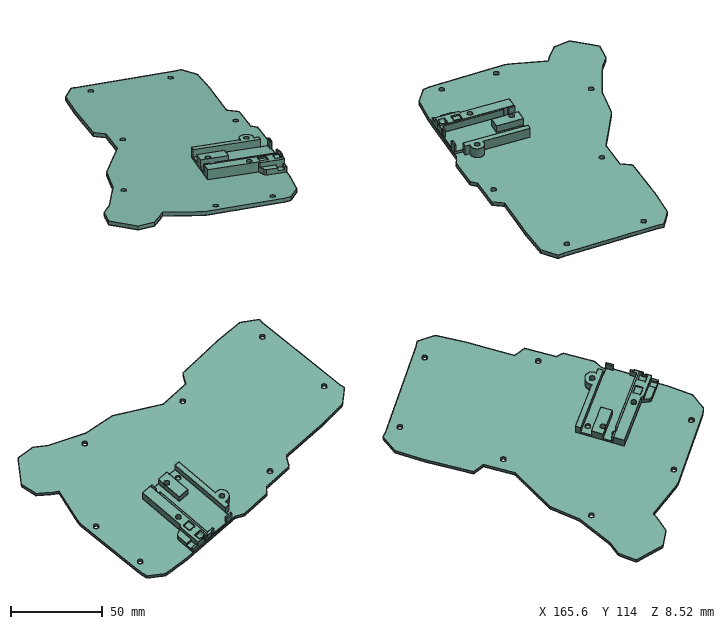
import cadquery as cq

overall_length = 165.62
overall_width = 114.03
overall_height = 8.52

plate_thickness = 2.4
tray_height = overall_height - plate_thickness
floor_thickness = 1.6
ledge_height = 3.3

screw_hole_diameter = 3.0

left_edge_inset = 0.4
right_edge = 162.0
plate_outline = [
    (0, 98.1),
    (8.4, 104.6),
    (25.8, 105.4),
    (35.6, 105.2),
    (53.4, 105.0),
    (57.3, 110.9),
    (75.3, 110.9),
    (78.3, overall_width),
    (96.0, overall_width),
    (101.0, 111.4),
    (138.6, 110.7),
    (153.4, 109.2),
    (161.4, 102.9),
    (right_edge, 99.2),
    (right_edge, 53.6),
    (161.4, 51.0),
    (154.8, 30.9),
    (157.7, 28.8),
    (164.4, 22.8),
    (overall_length, 13.0),
    (154.5, 0),
    (144.0, 1.2),
    (137.6, 6.4),
    (117.6, 15.9),
    (99.7, 18.8),
    (75.3, 33.8),
    (57.4, 33.8),
    (53.6, 27.9),
    (35.6, 27.6),
    (25.8, 27.4),
    (8.8, 28.2),
    (0, 34.6),
    (left_edge_inset, 37.5),
    (left_edge_inset, 94.8),
]
plate_hole_centers = [
    (7.0, 89.5),
    (7.0, 43.4),
    (66.7, 105.4),
    (66.7, 40.2),
    (157.3, 93.8),
    (157.3, 60.9),
    (122.9, 20.1),
]

tray_corner = (99.2, 68.0)
tray_turn = -1.6

rail_width = 3.0
rail_depth = 38.6
pocket_right = 20.8
block_left = 21.85
block_right = 28.0
tray_depth = 43.7
rear_wall_thickness = 1.0
rear_wall_front = tray_depth - rear_wall_thickness

island_left = 9.2
island_right = 15.8
island_depth = 16.0
left_tab_right = 7.2
right_tab_left = 16.9

ear_center = (-1.1, 31.9)
ear_radius = 4.0

liner_hole_center = (pocket_right, 5.0)
block_hole_center = (25.1, 24.7)
tray_hole_centers = [ear_center, (5.5, 4.9), (14.1, 4.8), liner_hole_center]

relief_left = 22.8
relief_right = 27.0
relief_front = 30.3
relief_rear = 35.1
relief_depth = 1.0
trough_front = 39.0
trough_radius = (relief_right - relief_left) / 2
trough_center = (relief_left + relief_right) / 2
cable_groove_radius = 1.0

tongue_left = 18.9
tongue_right = 24.2
tongue_rear = 44.3

bracket_front = 29.1
bracket_wall_right = 29.1
bracket_right = 32.9
bracket_corner = (32.0, 30.9)
bracket_side_front = 32.0
ledge_recess_front = 38.7
ledge_recess_rear = 42.5


def box(left, right, front, rear, bottom, top):
    """A box between tray stations, with heights measured from the top of the plate."""
    return (
        cq.Workplane("XY", origin=(left, front, bottom))
        .box(right - left, rear - front, top - bottom, centered=False)
    )


def trough(radius, front, rear):
    """A cylinder lying front to rear, with its axis in the tray's top face."""
    return (
        cq.Workplane("XZ", origin=(trough_center, front, tray_height))
        .circle(radius)
        .extrude(front - rear)
    )


def screw_holes(centers, depth):
    return cq.Workplane("XY").pushPoints(centers).circle(screw_hole_diameter / 2).extrude(depth)


def place_on_plate(body):
    return (
        body.rotate((0, 0, 0), (0, 0, 1), tray_turn)
        .translate((*tray_corner, plate_thickness))
    )


def make_plate():
    plate = cq.Workplane("XY").polyline(plate_outline).close().extrude(plate_thickness)
    return plate.cut(screw_holes(plate_hole_centers, plate_thickness))


def make_tray():
    """Floor, left rail, island, ear and left rear tab, joined to the right block and its bracket."""
    floor = box(rail_width, block_right, 0, tray_depth, 0, floor_thickness)
    rail = box(0, rail_width, 0, rail_depth, 0, tray_height)
    island = box(island_left, island_right, 0, island_depth, 0, tray_height)
    left_tab = box(rail_width, left_tab_right, rear_wall_front, tray_depth, 0, tray_height)
    ear = cq.Workplane("XY").center(*ear_center).circle(ear_radius).extrude(tray_height)
    tray = floor.union(rail).union(island).union(left_tab).union(ear)
    tray = tray.cut(screw_holes(tray_hole_centers, tray_height))
    return tray.union(make_block()).union(make_bracket())


def make_block():
    block = box(block_left, block_right, 0, tray_depth, 0, tray_height)
    relief_floor = tray_height - relief_depth
    relief = box(relief_left, relief_right, relief_front, relief_rear, relief_floor, tray_height)
    return (
        block.cut(relief)
        .cut(trough(trough_radius, trough_front, rear_wall_front))
        .cut(trough(cable_groove_radius, rear_wall_front, tray_depth))
        .cut(screw_holes([block_hole_center], tray_height))
    )


def make_bracket():
    """Full-height wall against the block, with a lower, recessed ledge beside it."""
    bracket = (
        cq.Workplane("XY")
        .polyline([
            (block_right, bracket_front),
            bracket_corner,
            (bracket_right, bracket_side_front),
            (bracket_right, tray_depth),
            (block_right, tray_depth),
        ])
        .close()
        .extrude(tray_height)
    )
    above_ledge = box(
        bracket_wall_right, bracket_right,
        bracket_front, tray_depth,
        ledge_height, tray_height,
    )
    recess = box(
        bracket_wall_right, bracket_right,
        ledge_recess_front, ledge_recess_rear,
        floor_thickness, ledge_height,
    )
    return bracket.cut(above_ledge).cut(recess)


def liner_strip(front, rear):
    """A length of the thin strip between pocket and block, notched by the liner hole."""
    strip = box(pocket_right, block_left, front, rear, floor_thickness, tray_height)
    return strip.cut(screw_holes([liner_hole_center], tray_height))


def make_liner():
    """The strip behind the liner hole, with a tab and a tongue at its rear end."""
    strip = liner_strip(liner_hole_center[1], tray_depth)
    tab = box(right_tab_left, block_left, rear_wall_front, tray_depth, floor_thickness, tray_height)
    tongue = box(tongue_left, tongue_right, tray_depth, tongue_rear, floor_thickness, tray_height)
    tongue = tongue.cut(trough(cable_groove_radius, tray_depth, tongue_rear))
    return strip.union(tab).union(tongue)


def make_liner_tip():
    """The short length of strip in front of the liner hole."""
    return liner_strip(0, liner_hole_center[1])


plate = make_plate()
tray = place_on_plate(make_tray())
liner = place_on_plate(make_liner())
liner_tip = place_on_plate(make_liner_tip())

result = cq.Compound.makeCompound([plate.val(), tray.val(), liner.val(), liner_tip.val()])